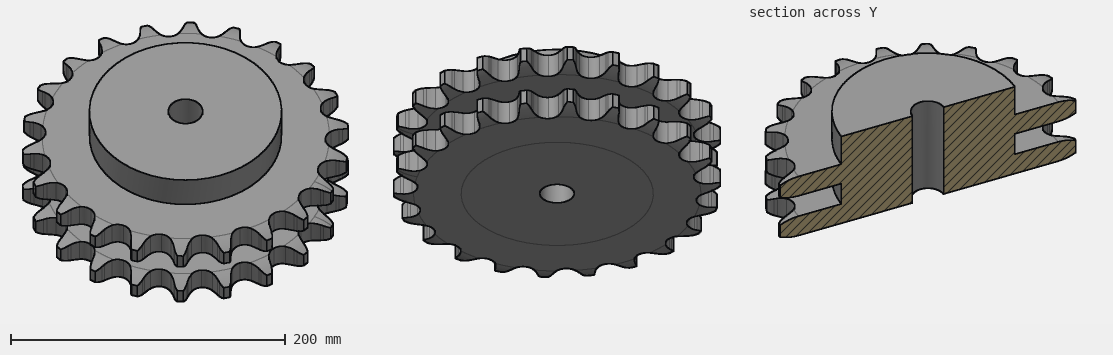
import cadquery as cq
import math


CHAIN_PITCH = 31.75
ROLLER_DIAMETER = 19.05
STRAND_SPACING = 36.4

TOOTH_COUNT = 22
STRAND_COUNT = 2
TIP_DIAMETER = 238.3
RIM_WIDTH = 18.2
HUB_DIAMETER = 140.0
BORE_DIAMETER = 25.0
TOTAL_HEIGHT = 80.0

RELIEF_RADIUS = 32.0
RELIEF_DEPTH = 3.5

HALF_TOOTH_ANGLE = math.pi / TOOTH_COUNT
PITCH_RADIUS = CHAIN_PITCH / 2 / math.sin(HALF_TOOTH_ANGLE)
TIP_RADIUS = TIP_DIAMETER / 2
RELIEF_LENGTH = math.sqrt(RELIEF_RADIUS**2 - (RELIEF_RADIUS - RELIEF_DEPTH) ** 2)
RELIEF_START_RADIUS = TIP_RADIUS - RELIEF_LENGTH

SEATING_RADIUS = (1.005 * ROLLER_DIAMETER + 0.0762) / 2
SEATING_ANGLE = math.radians(35 + 60 / TOOTH_COUNT)
WORKING_ANGLE = math.radians(18 - 56 / TOOTH_COUNT)
WORKING_CENTER_DISTANCE = 0.8 * ROLLER_DIAMETER
WORKING_RADIUS = SEATING_RADIUS + WORKING_CENTER_DISTANCE
TOPPING_ANGLE = math.radians(17 - 64 / TOOTH_COUNT)
TOPPING_CENTER_DISTANCE = 1.4 * ROLLER_DIAMETER
TOPPING_RISE = TOPPING_CENTER_DISTANCE * math.sin(TOPPING_ANGLE)
WORKING_RISE = WORKING_CENTER_DISTANCE * math.sin(WORKING_ANGLE)
FLANK_LENGTH = TOPPING_RISE - WORKING_RISE


def offset(point, distance, angle):
    """Point at a distance from another point, along a direction."""
    return (point[0] + distance * math.cos(angle), point[1] + distance * math.sin(angle))


def rotate(point, angle):
    """Point turned about the sprocket axis."""
    return offset((0, 0), math.hypot(*point), math.atan2(point[1], point[0]) + angle)


def mirror(point):
    """Point reflected across the X axis."""
    return (point[0], -point[1])


def half_gap_points():
    """Ends and midpoints of the curves from a gap bottom on the +X axis up to the next tooth tip."""
    roller_center = (PITCH_RADIUS, 0)
    seating_end_angle = math.pi / 2 + SEATING_ANGLE
    working_end_angle = seating_end_angle - WORKING_ANGLE

    root = offset(roller_center, SEATING_RADIUS, math.pi)
    seating_mid = offset(roller_center, SEATING_RADIUS, (math.pi + seating_end_angle) / 2)
    seating_end = offset(roller_center, SEATING_RADIUS, seating_end_angle)

    working_center = offset(roller_center, -WORKING_CENTER_DISTANCE, seating_end_angle)
    working_mid = offset(working_center, WORKING_RADIUS, seating_end_angle - WORKING_ANGLE / 2)
    working_end = offset(working_center, WORKING_RADIUS, working_end_angle)

    flank_end = offset(working_end, FLANK_LENGTH, working_end_angle - math.pi / 2)

    topping_center = offset(roller_center, TOPPING_CENTER_DISTANCE, math.pi / 2 + HALF_TOOTH_ANGLE)
    topping_radius = math.dist(topping_center, flank_end)
    center_radius = math.hypot(*topping_center)
    center_angle = math.atan2(topping_center[1], topping_center[0])
    cos_tip = (TIP_RADIUS**2 + center_radius**2 - topping_radius**2) / (2 * TIP_RADIUS * center_radius)
    tip_corner = offset((0, 0), TIP_RADIUS, center_angle - math.acos(cos_tip))
    start_angle = math.atan2(flank_end[1] - topping_center[1], flank_end[0] - topping_center[0])
    end_angle = math.atan2(tip_corner[1] - topping_center[1], tip_corner[0] - topping_center[0])
    topping_mid = offset(topping_center, topping_radius, (start_angle + end_angle) / 2)

    return root, seating_mid, seating_end, working_mid, working_end, flank_end, topping_mid, tip_corner


def tooth_outline():
    """Closed outline of all teeth, with a tooth centred on the +X axis."""
    rising_half = half_gap_points()
    falling_half = [mirror(point) for point in rising_half]
    first_corner = rotate(falling_half[-1], HALF_TOOTH_ANGLE)
    outline = cq.Workplane("XY").moveTo(*first_corner)
    for tooth in range(TOOTH_COUNT):
        gap_angle = (2 * tooth + 1) * HALF_TOOTH_ANGLE
        falling = [rotate(point, gap_angle) for point in falling_half]
        rising = [rotate(point, gap_angle) for point in rising_half]

        root, seating_mid, seating_end, working_mid, working_end, flank_end, topping_mid, _ = falling
        outline = outline.threePointArc(topping_mid, flank_end).lineTo(*working_end)
        outline = outline.threePointArc(working_mid, seating_end).threePointArc(seating_mid, root)

        _, seating_mid, seating_end, working_mid, working_end, flank_end, topping_mid, tip_corner = rising
        outline = outline.threePointArc(seating_mid, seating_end).threePointArc(working_mid, working_end)
        outline = outline.lineTo(*flank_end).threePointArc(topping_mid, tip_corner)

        tip_middle = offset((0, 0), TIP_RADIUS, gap_angle + HALF_TOOTH_ANGLE)
        next_corner = rotate(falling_half[-1], gap_angle + 2 * HALF_TOOTH_ANGLE)
        outline = outline.threePointArc(tip_middle, next_corner)
    return outline.close()


def relieved_disc():
    """Disc whose rim narrows toward the tip along an arc on each side."""
    mid_radius = RELIEF_START_RADIUS + RELIEF_LENGTH / 2
    mid_depth = RELIEF_RADIUS - math.sqrt(RELIEF_RADIUS**2 - (RELIEF_LENGTH / 2) ** 2)
    return (
        cq.Workplane("XZ")
        .lineTo(RELIEF_START_RADIUS, 0)
        .threePointArc((mid_radius, mid_depth), (TIP_RADIUS, RELIEF_DEPTH))
        .lineTo(TIP_RADIUS, RIM_WIDTH - RELIEF_DEPTH)
        .threePointArc((mid_radius, RIM_WIDTH - mid_depth), (RELIEF_START_RADIUS, RIM_WIDTH))
        .lineTo(0, RIM_WIDTH)
        .close()
        .revolve(360, (0, 0, 0), (0, 1, 0))
    )


def toothed_rim():
    """One sprocket rim standing on Z = 0."""
    return tooth_outline().extrude(RIM_WIDTH, clean=False).intersect(relieved_disc(), clean=False)


def sprocket():
    """Hub with one rim per chain strand and a plain through bore."""
    body = cq.Workplane("XY").circle(HUB_DIAMETER / 2).extrude(TOTAL_HEIGHT)
    rim = toothed_rim()
    for strand in range(STRAND_COUNT):
        body = body.union(rim.translate((0, 0, strand * STRAND_SPACING)), clean=False)
    bore = cq.Workplane("XY").circle(BORE_DIAMETER / 2).extrude(TOTAL_HEIGHT)
    return body.cut(bore, clean=False)


result = sprocket()